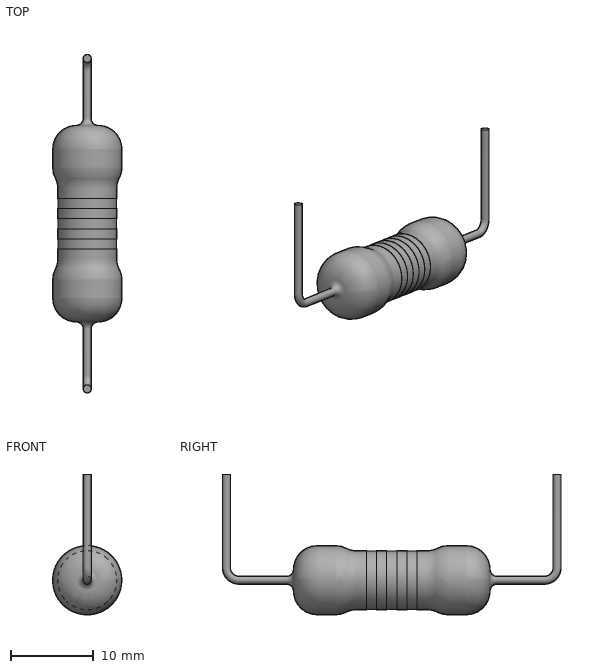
import cadquery as cq
import math

overall_length = 41.0
overall_height = 17.0
lead_diameter = 1.0
bend_radius = 1.5

cap_diameter = 8.4
waist_diameter = 7.15
band_diameter = 7.18
band_count = 7
band_width = 1.25
shoulder_length = 2.45
cap_straight_length = 2.25
flare_radius = 0.8

lead_radius = lead_diameter / 2
cap_radius = cap_diameter / 2
waist_radius = waist_diameter / 2
band_radius = band_diameter / 2
height_above_axis = overall_height - cap_radius
flare_rim = lead_radius + flare_radius
dome_radius = cap_radius - flare_rim

waist_end = band_count * band_width / 2
cap_start = waist_end + shoulder_length
dome_start = cap_start + cap_straight_length
body_end = dome_start + dome_radius
flare_end = body_end + flare_radius
diagonal = math.sqrt(0.5)


def make_body_end():
    """Revolve the +Y end of the coated body, from its outermost stripe to the flare."""
    end_band_start = waist_end - band_width
    shoulder_middle = ((band_radius + cap_radius) / 2, waist_end + shoulder_length / 2)
    dome_middle = (
        cap_radius - dome_radius * (1 - diagonal),
        dome_start + dome_radius * diagonal,
    )
    flare_middle = (flare_rim - flare_radius * diagonal, flare_end - flare_radius * diagonal)
    profile = (
        cq.Workplane("XY")
        .moveTo(0, end_band_start)
        .lineTo(band_radius, end_band_start)
        .lineTo(band_radius, waist_end)
        .tangentArcPoint(shoulder_middle, relative=False)
        .tangentArcPoint((cap_radius, cap_start), relative=False)
        .lineTo(cap_radius, dome_start)
        .threePointArc(dome_middle, (flare_rim, body_end))
        .threePointArc(flare_middle, (lead_radius, flare_end))
        .lineTo(0, flare_end)
        .close()
    )
    return profile.revolve(360, (0, 0, 0), (0, 1, 0))


def make_stripe(index):
    """One stripe of the waist, counted from the -Y end; even ones are raised."""
    start = -waist_end + index * band_width
    radius = band_radius if index % 2 == 0 else waist_radius
    return cq.Workplane("XZ", origin=(0, start, 0)).circle(radius).extrude(-band_width)


def make_leads():
    """A single U-shaped wire running through the body."""
    lead_y = overall_length / 2 - lead_radius
    bend_start = lead_y - bend_radius
    bend_middle_y = bend_start + bend_radius * diagonal
    bend_middle_z = bend_radius * (1 - diagonal)
    path = (
        cq.Workplane("YZ")
        .moveTo(-lead_y, height_above_axis)
        .lineTo(-lead_y, bend_radius)
        .threePointArc((-bend_middle_y, bend_middle_z), (-bend_start, 0))
        .lineTo(bend_start, 0)
        .threePointArc((bend_middle_y, bend_middle_z), (lead_y, bend_radius))
        .lineTo(lead_y, height_above_axis)
    )
    start_plane = cq.Workplane("XY", origin=(0, -lead_y, height_above_axis))
    return start_plane.circle(lead_radius).sweep(path)


body_end_piece = make_body_end()
result = make_leads().union(body_end_piece).union(body_end_piece.mirror("XZ"))
for stripe_index in range(1, band_count - 1):
    result = result.union(make_stripe(stripe_index))